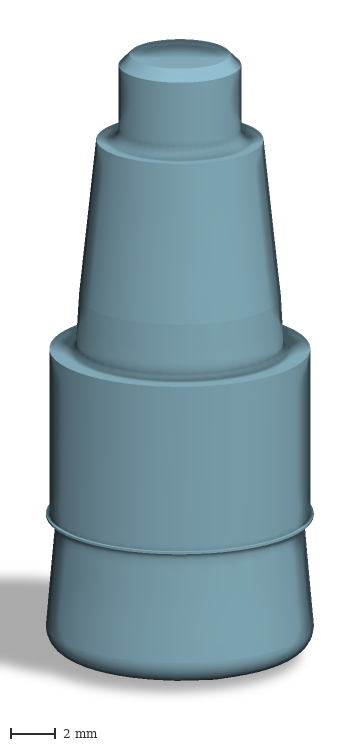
import cadquery as cq
import math

TOTAL_HEIGHT = 28.2
FLANGE_BOTTOM = 6.6
FLANGE_THICKNESS = 0.1
COLLAR_TOP = 14.4
TAPER_BREAK = 16.9
SHOULDER = 24.2

COLLAR_RADIUS = 11.7 / 2
FLANGE_RADIUS = 12.0 / 2
ROOT_RADIUS = 4.65
ROOT_FILLET = 0.25
TAPER_BREAK_RADIUS = 4.52
TAPER_TOP_RADIUS = 3.75
PEG_RADIUS = 5.5 / 2
PEG_FILLET = 0.5
PEG_CHAMFER = 0.5

TIP_TOP_RADIUS = 5.55
TIP_MAX_RADIUS = 12.0 / 2
RIM_RADIUS = 1.0
FLAT_RADIUS = 3.0
CROWN_RADIUS = 6.0


def polar(center, radius, angle):
    """Point on a circle, with the angle in radians."""
    return (center[0] + radius * math.cos(angle), center[1] + radius * math.sin(angle))


def make_holder():
    """Collar with a thin flange below it, a two-stage tapered stem and a chamfered peg."""
    flange_top = FLANGE_BOTTOM + FLANGE_THICKNESS
    mid = 1 - math.sqrt(0.5)
    profile = (
        cq.Workplane("XZ")
        .moveTo(0, FLANGE_BOTTOM)
        .lineTo(FLANGE_RADIUS, FLANGE_BOTTOM)
        .lineTo(FLANGE_RADIUS, flange_top)
        .lineTo(COLLAR_RADIUS, flange_top)
        .lineTo(COLLAR_RADIUS, COLLAR_TOP)
        .lineTo(ROOT_RADIUS + ROOT_FILLET, COLLAR_TOP)
        .threePointArc(
            (ROOT_RADIUS + mid * ROOT_FILLET, COLLAR_TOP + mid * ROOT_FILLET),
            (ROOT_RADIUS, COLLAR_TOP + ROOT_FILLET),
        )
        .lineTo(TAPER_BREAK_RADIUS, TAPER_BREAK)
        .lineTo(TAPER_TOP_RADIUS, SHOULDER)
        .lineTo(PEG_RADIUS + PEG_FILLET, SHOULDER)
        .threePointArc(
            (PEG_RADIUS + mid * PEG_FILLET, SHOULDER + mid * PEG_FILLET),
            (PEG_RADIUS, SHOULDER + PEG_FILLET),
        )
        .lineTo(PEG_RADIUS, TOTAL_HEIGHT - PEG_CHAMFER)
        .lineTo(PEG_RADIUS - PEG_CHAMFER, TOTAL_HEIGHT)
        .lineTo(0, TOTAL_HEIGHT)
        .close()
    )
    return profile.revolve(360, (0, 0), (0, 1))


def make_tip():
    """Flared tip whose rim arc runs smoothly into the crown arc and the flat underside."""
    crown_center = (FLAT_RADIUS, CROWN_RADIUS)
    rim_x = TIP_MAX_RADIUS - RIM_RADIUS
    offset = rim_x - FLAT_RADIUS
    drop = math.sqrt((CROWN_RADIUS - RIM_RADIUS) ** 2 - offset ** 2)
    rim_center = (rim_x, CROWN_RADIUS - drop)

    side_x = TIP_TOP_RADIUS - rim_center[0]
    side_z = FLANGE_BOTTOM - rim_center[1]
    side_angle = math.atan2(side_z, side_x) - math.acos(RIM_RADIUS / math.hypot(side_x, side_z))

    underside_angle = -math.pi / 2
    blend_angle = math.atan2(-drop, offset)
    profile = (
        cq.Workplane("XZ")
        .lineTo(FLAT_RADIUS, 0)
        .threePointArc(
            polar(crown_center, CROWN_RADIUS, (underside_angle + blend_angle) / 2),
            polar(crown_center, CROWN_RADIUS, blend_angle),
        )
        .threePointArc(
            polar(rim_center, RIM_RADIUS, (blend_angle + side_angle) / 2),
            polar(rim_center, RIM_RADIUS, side_angle),
        )
        .lineTo(TIP_TOP_RADIUS, FLANGE_BOTTOM)
        .lineTo(0, FLANGE_BOTTOM)
        .close()
    )
    return profile.revolve(360, (0, 0), (0, 1))


holder = make_holder()
tip = make_tip()

result = cq.Compound.makeCompound([holder.val(), tip.val()])